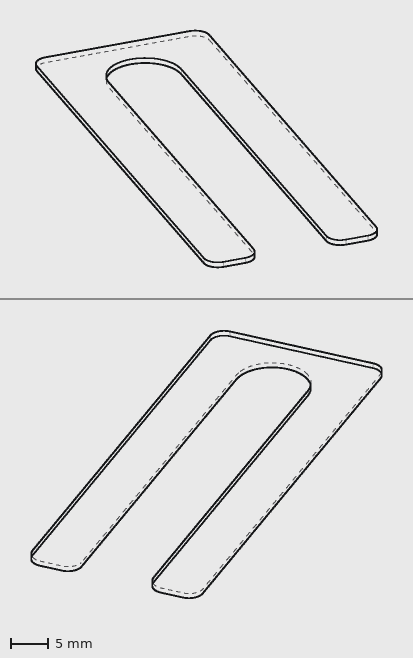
import cadquery as cq

length = 65.0
width = 25.0
thickness = 0.8
corner_radius = 2.0

slot_width = 10.5
back_web = 4.8

slot_radius = slot_width / 2
slot_center_x = -length / 2 + back_web + slot_radius


def make_plate():
    return cq.Workplane("XY").box(length, width, thickness)


def make_slot_cutter():
    """Slot profile, from its rounded end to the open end of the plate."""
    return (
        cq.Workplane("XY")
        .workplane(offset=-thickness / 2)
        .moveTo(length / 2, -slot_radius)
        .lineTo(slot_center_x, -slot_radius)
        .threePointArc((slot_center_x - slot_radius, 0), (slot_center_x, slot_radius))
        .lineTo(length / 2, slot_radius)
        .close()
        .extrude(thickness)
    )


corner_edges = "|Z and (<X or >X)"
forked_plate = make_plate().cut(make_slot_cutter())
result = forked_plate.edges(corner_edges).fillet(corner_radius)